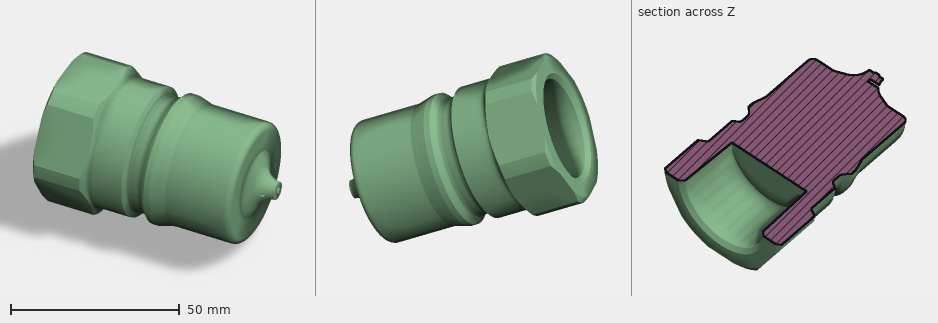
import cadquery as cq
import math

TOTAL_LENGTH = 70.65

HEX_FLATS = 42.0
HEX_CORNER_RADIUS = 23.0
HEX_FACE_RADIUS = 21.55
HEX_FRONT_BEVEL = 0.9
HEX_BACK_BEVEL_START = 16.0
HEX_BACK_BEVEL_END = 17.25
HEX_BACK_SLOPE = math.radians(60)

BODY_RADIUS = 20.3
GROOVE_RADIUS = 18.1
GROOVE_START = 28.4
GROOVE_FLOOR_START = 30.4
GROOVE_FLOOR_END = 32.85
GROOVE_END = 35.6
GROOVE_CORNER_RISE = 0.3
GROOVE_CORNER_LENGTH = 0.85
COLLAR_END = 37.5
PLUG_START = 42.25
PLUG_RADIUS = 18.9
PLUG_END = 63.0
PLUG_EDGE_FILLET = 2.0

NOSE_BASE_RADIUS = 10.6
NOSE_CONE_END = 64.65
NOSE_CONE_END_RADIUS = 6.4
NOSE_TIP_RADIUS = 2.8
PIN_RADIUS = 1.05
PIN_LENGTH = 0.4
NOSE_END = TOTAL_LENGTH - PIN_LENGTH
PIN_CHAMFER = 0.2
SIDE_HOLE_X = 67.05
SIDE_HOLE_RADIUS = 0.5

BORE_MOUTH_RADIUS = 16.6
BORE_RADIUS = 15.25
BORE_END_RADIUS = 14.6
BORE_CHAMFER_LENGTH = 1.35
BORE_TAPER = 1 / 32
BORE_DEPTH = BORE_CHAMFER_LENGTH + (BORE_RADIUS - BORE_END_RADIUS) / BORE_TAPER


def revolve_about_x(profile):
    """Close a profile drawn in XY (x along the axis, y as radius) and spin it about X."""
    return profile.close().revolve(360, (0, 0, 0), (1, 0, 0))


def make_turned_envelope():
    """Whole outside shape before the hexagon flats are cut."""
    bevel_end_radius = (
        HEX_CORNER_RADIUS
        - (HEX_BACK_BEVEL_END - HEX_BACK_BEVEL_START) * math.tan(HEX_BACK_SLOPE)
    )
    neck_tangent = (bevel_end_radius - BODY_RADIUS) / math.sin(HEX_BACK_SLOPE)
    body_start = HEX_BACK_BEVEL_END + neck_tangent * (1 + math.cos(HEX_BACK_SLOPE))
    groove_corner_radius = GROOVE_RADIUS + GROOVE_CORNER_RISE
    flare_length = NOSE_END - NOSE_CONE_END
    flare_rise = NOSE_CONE_END_RADIUS - NOSE_TIP_RADIUS
    flare_radius = (flare_length**2 + flare_rise**2) / (2 * flare_rise)
    profile = (
        cq.Workplane("XY")
        .lineTo(0, HEX_FACE_RADIUS)
        .lineTo(HEX_FRONT_BEVEL, HEX_CORNER_RADIUS)
        .lineTo(HEX_BACK_BEVEL_START, HEX_CORNER_RADIUS)
        .lineTo(HEX_BACK_BEVEL_END, bevel_end_radius)
        .tangentArcPoint((body_start, BODY_RADIUS), relative=False)
        .lineTo(GROOVE_START, BODY_RADIUS)
        .lineTo(GROOVE_FLOOR_START - GROOVE_CORNER_LENGTH, groove_corner_radius)
        .lineTo(GROOVE_FLOOR_START, GROOVE_RADIUS)
        .lineTo(GROOVE_FLOOR_END, GROOVE_RADIUS)
        .lineTo(GROOVE_FLOOR_END + GROOVE_CORNER_LENGTH, groove_corner_radius)
        .lineTo(GROOVE_END, BODY_RADIUS)
        .lineTo(COLLAR_END, BODY_RADIUS)
        .lineTo(PLUG_START, PLUG_RADIUS)
        .lineTo(PLUG_END - PLUG_EDGE_FILLET, PLUG_RADIUS)
        .tangentArcPoint((PLUG_END, PLUG_RADIUS - PLUG_EDGE_FILLET), relative=False)
        .lineTo(PLUG_END, NOSE_BASE_RADIUS)
        .lineTo(NOSE_CONE_END, NOSE_CONE_END_RADIUS)
        .radiusArc((NOSE_END, NOSE_TIP_RADIUS), -flare_radius)
        .lineTo(NOSE_END, PIN_RADIUS)
        .lineTo(TOTAL_LENGTH - PIN_CHAMFER, PIN_RADIUS)
        .lineTo(TOTAL_LENGTH, PIN_RADIUS - PIN_CHAMFER)
        .lineTo(TOTAL_LENGTH, 0)
    )
    return revolve_about_x(profile)


def make_flats_limit():
    """Hexagonal bar with flats facing +Z and -Z; it clears the round body."""
    hexagon = cq.Workplane("YZ").polygon(6, HEX_FLATS, circumscribed=True)
    return hexagon.extrude(TOTAL_LENGTH).rotate((0, 0, 0), (1, 0, 0), 90)


def make_bore():
    """Chamfered mouth followed by a slow taper to a flat floor."""
    profile = (
        cq.Workplane("XY")
        .lineTo(0, BORE_MOUTH_RADIUS)
        .lineTo(BORE_CHAMFER_LENGTH, BORE_RADIUS)
        .lineTo(BORE_DEPTH, BORE_END_RADIUS)
        .lineTo(BORE_DEPTH, 0)
    )
    return revolve_about_x(profile)


def make_side_hole():
    """Small blind hole from the -Y side of the nose down to its axis."""
    return (
        cq.Workplane("XZ")
        .center(SIDE_HOLE_X, 0)
        .circle(SIDE_HOLE_RADIUS)
        .extrude(NOSE_BASE_RADIUS)
    )


result = make_turned_envelope().intersect(make_flats_limit())
result = result.cut(make_bore()).cut(make_side_hole())